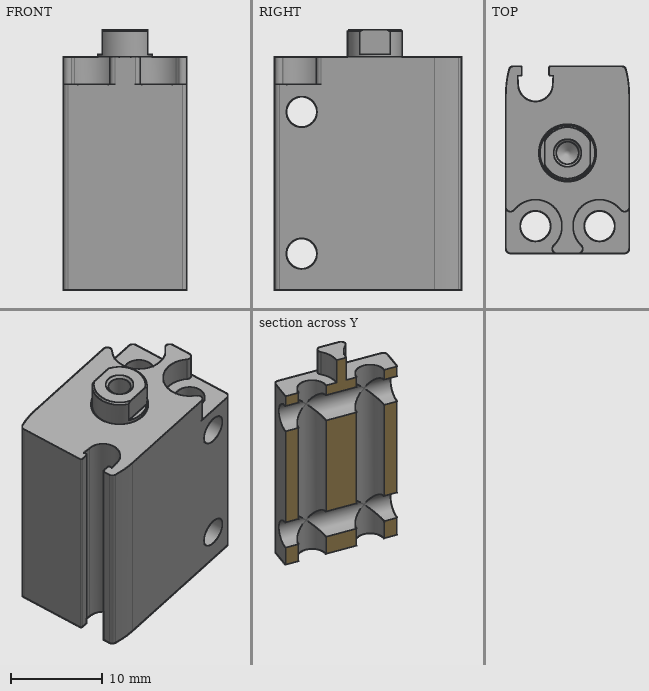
import cadquery as cq
import math


WIDTH = 13.5
HOUSING_HEIGHT = 25.5
FRONT_Y = -11.0
BACK_Y = 9.5
CORNER_RADIUS = 0.5
SIDE_CURVE_LENGTH = 3.0
SIDE_CURVE_RADIUS = 10.0

MOUNT_DIAMETER = 3.3
MOUNT_SPACING = 7.0
MOUNT_Y = FRONT_Y + 3.0
LOW_HOLE_Z = 4.0
HIGH_HOLE_Z = LOW_HOLE_Z + 15.5
POCKET_WIDTH = 5.8
POCKET_DEPTH = 3.0
NOSE_RADIUS = 0.5

SLOT_X = -3.5
SLOT_RADIUS = 1.88
SLOT_CENTER_Y = BACK_Y - 1.97
SLOT_MOUTH_WIDTH = 2.95
SLOT_SHOULDER_WIDTH = 3.88
LIP_THICKNESS = 1.05
LIP_ROUND = 0.17

ROD_DIAMETER = 6.0
ROD_TOP = 28.5
ROD_CHAMFER = 0.2
BORE_DEPTH = 5.0
BORE_CHAMFER = 0.15
FLAT_WIDTH = 5.02
FLAT_BOTTOM = HOUSING_HEIGHT + 0.28
THREAD_DIAMETER = 2.45
THREAD_DEPTH = 5.0
THREAD_CHAMFER = 0.28
DRILL_POINT_ANGLE = 118.0


def housing_block():
    """Block with rounded corners whose sides curve inwards towards the back."""
    half = WIDTH / 2

    def side_x(distance):
        drop = math.sqrt(SIDE_CURVE_RADIUS**2 - distance**2)
        return half - SIDE_CURVE_RADIUS + drop

    curve_start = BACK_Y - SIDE_CURVE_LENGTH
    middle_x = side_x(SIDE_CURVE_LENGTH / 2)
    middle_y = curve_start + SIDE_CURVE_LENGTH / 2
    back_x = side_x(SIDE_CURVE_LENGTH)
    block = (
        cq.Workplane("XY")
        .moveTo(-half, FRONT_Y)
        .lineTo(half, FRONT_Y)
        .lineTo(half, curve_start)
        .threePointArc((middle_x, middle_y), (back_x, BACK_Y))
        .lineTo(-back_x, BACK_Y)
        .threePointArc((-middle_x, middle_y), (-half, curve_start))
        .close()
        .extrude(HOUSING_HEIGHT)
    )
    corners = block.edges("|Z and (<Y or >Y)")
    return corners.fillet(CORNER_RADIUS)


def sensor_slot():
    """Full-height slot with a round floor and a mouth narrowed by two lips."""
    shoulder = SLOT_SHOULDER_WIDTH / 2
    lip_y = BACK_Y - LIP_THICKNESS
    chamber = (
        cq.Workplane("XY")
        .moveTo(SLOT_X - shoulder, lip_y)
        .lineTo(SLOT_X - SLOT_RADIUS, SLOT_CENTER_Y)
        .threePointArc(
            (SLOT_X, SLOT_CENTER_Y - SLOT_RADIUS),
            (SLOT_X + SLOT_RADIUS, SLOT_CENTER_Y),
        )
        .lineTo(SLOT_X + shoulder, lip_y)
        .close()
        .extrude(HOUSING_HEIGHT)
    )
    mouth = (
        cq.Workplane("XY")
        .center(SLOT_X, BACK_Y - LIP_THICKNESS / 2)
        .rect(SLOT_MOUTH_WIDTH, LIP_THICKNESS)
        .extrude(HOUSING_HEIGHT)
    )
    return chamber.union(mouth)


def round_lips(body):
    """Round both edges of each slot lip."""
    for side in (-1, 1):
        lip_x = SLOT_X + side * SLOT_MOUTH_WIDTH / 2
        for lip_y in (BACK_Y, BACK_Y - LIP_THICKNESS):
            edge = body.edges(cq.NearestToPointSelector((lip_x, lip_y, HOUSING_HEIGHT / 2)))
            body = edge.fillet(LIP_ROUND)
    return body


def corner_pocket(side):
    """Round pocket around a mounting hole, opening diagonally to the front corner."""
    reach = WIDTH
    floor_z = HOUSING_HEIGHT - POCKET_DEPTH
    floor = cq.Workplane("XY", origin=(0, 0, floor_z))
    seat = floor.circle(POCKET_WIDTH / 2).extrude(POCKET_DEPTH)
    opening = floor.center(reach / 2, 0).rect(reach, POCKET_WIDTH).extrude(POCKET_DEPTH)
    diagonal = -90 + side * 45
    pocket = seat.union(opening).rotate((0, 0, 0), (0, 0, 1), diagonal)
    return pocket.translate((side * MOUNT_SPACING / 2, MOUNT_Y, 0))


def round_noses(body):
    """Round the sharp upright edges that the corner pockets leave on the sides and front."""
    center_x = MOUNT_SPACING / 2
    half_opening = POCKET_WIDTH / 2 * math.sqrt(2)
    side_y = MOUNT_Y - (WIDTH / 2 - center_x) + half_opening
    front_x = center_x + (MOUNT_Y - FRONT_Y) - half_opening
    middle_z = HOUSING_HEIGHT - POCKET_DEPTH / 2
    for side in (-1, 1):
        for x, y in ((WIDTH / 2, side_y), (front_x, FRONT_Y)):
            edge = body.edges(cq.NearestToPointSelector((side * x, y, middle_z)))
            body = edge.fillet(NOSE_RADIUS)
    return body


def mounting_holes():
    """Two vertical through holes and two through holes along X that cross them."""
    vertical = (
        cq.Workplane("XY")
        .pushPoints([(side * MOUNT_SPACING / 2, MOUNT_Y) for side in (-1, 1)])
        .circle(MOUNT_DIAMETER / 2)
        .extrude(HOUSING_HEIGHT)
    )
    cross = (
        cq.Workplane("YZ", origin=(-WIDTH / 2, 0, 0))
        .pushPoints([(MOUNT_Y, z) for z in (LOW_HOLE_Z, HIGH_HOLE_Z)])
        .circle(MOUNT_DIAMETER / 2)
        .extrude(WIDTH)
    )
    return vertical.union(cross)


def rod_bore():
    """Blind bore for the rod, widened by a small chamfer at the top."""
    bore = (
        cq.Workplane("XY", origin=(0, 0, HOUSING_HEIGHT - BORE_DEPTH))
        .circle(ROD_DIAMETER / 2)
        .extrude(BORE_DEPTH)
    )
    mouth = cq.Solid.makeCone(
        ROD_DIAMETER / 2,
        ROD_DIAMETER / 2 + BORE_CHAMFER,
        BORE_CHAMFER,
        pnt=cq.Vector(0, 0, HOUSING_HEIGHT - BORE_CHAMFER),
    )
    return bore.union(cq.Workplane(mouth))


def make_housing():
    body = housing_block().cut(sensor_slot())
    body = round_lips(body)
    for side in (-1, 1):
        body = body.cut(corner_pocket(side))
    body = round_noses(body)
    return body.cut(mounting_holes()).cut(rod_bore())


def threaded_hole():
    """Axial blind hole with a chamfered mouth and a conical drill point."""
    radius = THREAD_DIAMETER / 2
    bottom_z = ROD_TOP - THREAD_DEPTH
    point_depth = radius / math.tan(math.radians(DRILL_POINT_ANGLE / 2))
    return (
        cq.Workplane("XZ")
        .moveTo(0, bottom_z - point_depth)
        .lineTo(radius, bottom_z)
        .lineTo(radius, ROD_TOP - THREAD_CHAMFER)
        .lineTo(radius + THREAD_CHAMFER, ROD_TOP)
        .lineTo(0, ROD_TOP)
        .close()
        .revolve(360, (0, 0, 0), (0, 1, 0))
    )


def make_rod():
    """Rod with two wrench flats and a threaded hole in its end."""
    bottom_z = HOUSING_HEIGHT - BORE_DEPTH
    rod = (
        cq.Workplane("XY", origin=(0, 0, bottom_z))
        .circle(ROD_DIAMETER / 2)
        .extrude(ROD_TOP - bottom_z)
        .faces(">Z")
        .chamfer(ROD_CHAMFER)
    )
    flat_depth = (ROD_DIAMETER - FLAT_WIDTH) / 2
    flat_height = ROD_TOP - FLAT_BOTTOM
    for side in (-1, 1):
        flat = (
            cq.Workplane("XY", origin=(0, 0, FLAT_BOTTOM))
            .center(side * (FLAT_WIDTH + flat_depth) / 2, 0)
            .rect(flat_depth, ROD_DIAMETER)
            .extrude(flat_height)
        )
        rod = rod.cut(flat)
    return rod.cut(threaded_hole())


housing = make_housing()
rod = make_rod()

result = cq.Compound.makeCompound([housing.solids().val(), rod.solids().val()])